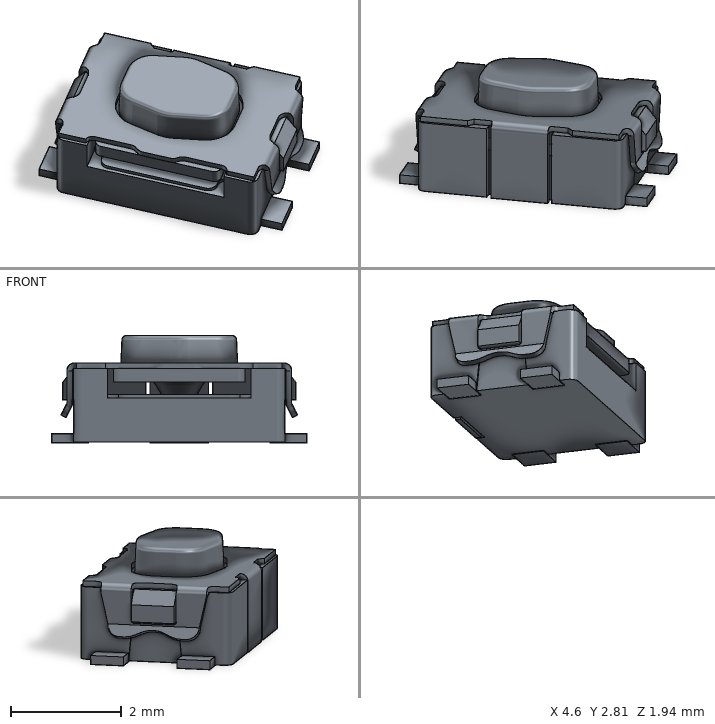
import cadquery as cq
import math

BODY_X = 3.81
BODY_Y = 2.81
BODY_BOTTOM = 0.015
BODY_TOP = 1.345
BODY_CORNER_R = 0.155

CAVITY_HALF_X = 1.295
CAVITY_REAR_Y = 1.25
CAVITY_FLOOR = 0.815
PAD_HALF_X = 1.095
PAD_FRONT_Y = -1.34
PAD_TOP = 0.875
PAD_SHOULDER = 0.36
PAD_CORNER_R = 0.175

SHEET = 0.1
COVER_TOP = BODY_TOP + SHEET
COVER_HALF_X = 1.85
COVER_HALF_Y = 1.352
BEND_INNER_R = 0.045
BEND_OUTER_R = BEND_INNER_R + SHEET
BEND_END_Z = COVER_TOP - BEND_OUTER_R

FRONT_NOTCH_DEPTH = 0.11
FRONT_NOTCH_MOUTH = (0.265, 1.335)
FRONT_NOTCH_FLOOR = (0.515, 1.205)

REAR_TAB_HALF_X = 0.53
REAR_SLOT_HALF_X = 0.603
REAR_NOTCH_FLOOR = 0.875
REAR_NOTCH_MOUTH = 0.975
REAR_ROOT_R = 0.055

SIDE_TAB_X = 2.03
SIDE_TAB_TOP_HALF_Y = 0.98
SIDE_TAB_LOW_HALF_Y = 0.845
SIDE_TAB_ROOT_R = 0.14
FLARE_TOP_Z = 0.71
FLARE_ANGLE = 26.8
FLARE_LENGTH = 0.23
FLARE_MITRE = SHEET * math.tan(math.radians(FLARE_ANGLE / 2))
FLARE_CORNER_R = 0.23
FLARE_LOBE_Y = 0.535
FLARE_CREST = 0.143

BOSS_X = 2.1
BOSS_HALF_Y = 0.395
BOSS_BOTTOM = 0.777
BOSS_SLOPE_Z = 1.09
WINDOW_X = 1.8
WINDOW_HALF_Y = 0.42
WINDOW_BOTTOM = 0.735
WINDOW_CORNER_R = 0.185
WINDOW_LOW_R = 0.07

RECESS_DEPTH = 0.03
RECESS_LOW_HALF_Y = 0.495
RECESS_TOP_HALF_Y = 0.42

TERMINAL_END_X = 2.3
TERMINAL_START_X = 1.638
TERMINAL_HEIGHT = 0.165
TERMINAL_INNER_Y = 0.495
TERMINAL_WIDTH = 0.605

BUTTON_TOP = 1.94
BUTTON_HALF_X = 1.06
BUTTON_SIDE_HALF_Y = 0.58
BUTTON_APEX_Y = 0.825
BUTTON_CORNER_R = 0.488
BUTTON_APEX_R = 0.735
BUTTON_DRAFT = 2.5
BUTTON_TOP_R = 0.09
HOLE_GAP = 0.06
FLANGE_BOTTOM = 1.095
FLANGE_HALF_X = 1.185
FLANGE_FRONT_Y = -1.35
FLANGE_REAR_Y = 1.23
FLANGE_CORNER_R = 0.135

FOOT_RIM_Z = 1.03
FOOT_RADII = (0.46, 0.415, 0.32)

SELECT_MARGIN = 0.005


def block(x0, x1, y0, y1, z0, z1):
    return cq.Workplane("XY").box(x1 - x0, y1 - y0, z1 - z0, centered=False).translate((x0, y0, z0))


def box_around(low, high):
    """Selector for edges centred in the box from low to high, with a small margin."""
    return cq.selectors.BoxSelector(
        tuple(value - SELECT_MARGIN for value in low),
        tuple(value + SELECT_MARGIN for value in high),
    )


def both_sides(shape):
    return shape.union(shape.mirror("YZ"))


def make_pad():
    """Raised floor of the cavity, narrower at the front, with rounded shoulders."""
    shoulder_y = PAD_FRONT_Y + PAD_SHOULDER
    front = block(-PAD_HALF_X, PAD_HALF_X, PAD_FRONT_Y, CAVITY_REAR_Y, CAVITY_FLOOR, PAD_TOP)
    wide = block(-CAVITY_HALF_X, CAVITY_HALF_X, shoulder_y, CAVITY_REAR_Y, CAVITY_FLOOR, PAD_TOP)
    pad = front.edges("|Z and <Y").fillet(PAD_CORNER_R).union(wide)
    inner_corners = box_around((-PAD_HALF_X, shoulder_y, CAVITY_FLOOR), (PAD_HALF_X, shoulder_y, PAD_TOP))
    return pad.edges(inner_corners).edges("|Z").fillet(PAD_CORNER_R)


def make_body():
    half_x = BODY_X / 2
    half_y = BODY_Y / 2
    body = block(-half_x, half_x, -half_y, half_y, BODY_BOTTOM, BODY_TOP)
    body = body.edges("|Z").fillet(BODY_CORNER_R)
    body = body.cut(block(-CAVITY_HALF_X, CAVITY_HALF_X, -half_y, CAVITY_REAR_Y, CAVITY_FLOOR, BODY_TOP))
    body = body.union(make_pad())
    slot = block(-REAR_SLOT_HALF_X, REAR_SLOT_HALF_X, CAVITY_REAR_Y, half_y, BODY_BOTTOM, BODY_TOP)
    recess = (
        cq.Workplane("YZ", origin=(-half_x, 0, 0))
        .moveTo(-RECESS_LOW_HALF_Y, BODY_BOTTOM)
        .lineTo(RECESS_LOW_HALF_Y, BODY_BOTTOM)
        .lineTo(RECESS_TOP_HALF_Y, BOSS_BOTTOM)
        .lineTo(-RECESS_TOP_HALF_Y, BOSS_BOTTOM)
        .close()
        .extrude(RECESS_DEPTH)
    )
    boss = (
        cq.Workplane("XZ")
        .moveTo(-half_x, BODY_TOP)
        .lineTo(-BOSS_X, BOSS_SLOPE_Z)
        .lineTo(-BOSS_X, BOSS_BOTTOM)
        .lineTo(-half_x, BOSS_BOTTOM)
        .close()
        .extrude(BOSS_HALF_Y, both=True)
    )
    return body.cut(slot).cut(both_sides(recess)).union(both_sides(boss))


def make_terminals():
    terminal = block(
        -TERMINAL_END_X, -TERMINAL_START_X,
        TERMINAL_INNER_Y, TERMINAL_INNER_Y + TERMINAL_WIDTH,
        0, TERMINAL_HEIGHT,
    )
    return both_sides(terminal.union(terminal.mirror("XZ")))


def button_outline():
    """Six-sided wire with rounded corners, lying at the body top."""
    corners = [
        (BUTTON_HALF_X, BUTTON_SIDE_HALF_Y),
        (0, BUTTON_APEX_Y),
        (-BUTTON_HALF_X, BUTTON_SIDE_HALF_Y),
        (-BUTTON_HALF_X, -BUTTON_SIDE_HALF_Y),
        (0, -BUTTON_APEX_Y),
        (BUTTON_HALF_X, -BUTTON_SIDE_HALF_Y),
    ]
    prism = cq.Workplane("XY").workplane(offset=BODY_TOP).polyline(corners).close().extrude(0.045)
    prism = prism.edges("|Z and (<Y or >Y)").fillet(BUTTON_APEX_R)
    for side in ("<X", ">X"):
        prism = prism.faces(side).edges("|Z").fillet(BUTTON_CORNER_R)
    return prism.faces("<Z").wires()


def make_button():
    key = button_outline().toPending().extrude(BUTTON_TOP - BODY_TOP, combine=False, taper=BUTTON_DRAFT)
    key = key.faces(">Z").edges().fillet(BUTTON_TOP_R)
    flange = block(
        -FLANGE_HALF_X, FLANGE_HALF_X, FLANGE_FRONT_Y, FLANGE_REAR_Y, FLANGE_BOTTOM, BODY_TOP
    ).edges("|Z").fillet(FLANGE_CORNER_R)
    root_r, rim_r, tip_r = FOOT_RADII
    foot = (
        cq.Workplane("XZ")
        .moveTo(0, PAD_TOP)
        .lineTo(tip_r, PAD_TOP)
        .lineTo(rim_r, FOOT_RIM_Z)
        .lineTo(root_r, FLANGE_BOTTOM)
        .lineTo(0, FLANGE_BOTTOM)
        .close()
        .revolve(360, (0, 0, 0), (0, 1, 0))
    )
    return key.union(flange).union(foot)


def make_cover_plate():
    plate = block(-COVER_HALF_X, COVER_HALF_X, -COVER_HALF_Y, COVER_HALF_Y, BODY_TOP, COVER_TOP)
    notch_y = -COVER_HALF_Y + FRONT_NOTCH_DEPTH
    mouth_inner, mouth_outer = FRONT_NOTCH_MOUTH
    floor_inner, floor_outer = FRONT_NOTCH_FLOOR
    front_notch = (
        cq.Workplane("XY", origin=(0, 0, BODY_TOP))
        .moveTo(-mouth_inner, -COVER_HALF_Y)
        .spline([(-floor_inner, notch_y)], tangents=[(-1, 0), (-1, 0)], includeCurrent=True)
        .lineTo(-floor_outer, notch_y)
        .tangentArcPoint((-mouth_outer, -COVER_HALF_Y), relative=False)
        .close()
        .extrude(SHEET)
    )
    rear_notch = (
        cq.Workplane("XY", origin=(0, 0, BODY_TOP))
        .moveTo(-REAR_NOTCH_MOUTH, COVER_HALF_Y)
        .lineTo(-REAR_NOTCH_FLOOR, CAVITY_REAR_Y)
        .lineTo(REAR_NOTCH_FLOOR, CAVITY_REAR_Y)
        .lineTo(REAR_NOTCH_MOUTH, COVER_HALF_Y)
        .close()
        .extrude(SHEET)
    )
    hole = button_outline().toPending().offset2D(HOLE_GAP).extrude(SHEET, combine=False)
    return plate.cut(both_sides(front_notch)).cut(rear_notch).cut(hole)


def bent_strip(root, outer, bottom, half_width, end_drop=0):
    """Strip along +X from root, bent down at outer; end_drop lowers its end on the inner face."""
    bend_start = outer - BEND_OUTER_R
    rise = math.sin(math.radians(45))
    mid_outer = (bend_start + BEND_OUTER_R * rise, BEND_END_Z + BEND_OUTER_R * rise)
    mid_inner = (bend_start + BEND_INNER_R * rise, BEND_END_Z + BEND_INNER_R * rise)
    return (
        cq.Workplane("XZ")
        .moveTo(root, COVER_TOP)
        .lineTo(bend_start, COVER_TOP)
        .threePointArc(mid_outer, (outer, BEND_END_Z))
        .lineTo(outer, bottom)
        .lineTo(outer - SHEET, bottom - end_drop)
        .lineTo(outer - SHEET, BEND_END_Z)
        .threePointArc(mid_inner, (bend_start, BODY_TOP))
        .lineTo(root, BODY_TOP)
        .close()
        .extrude(half_width, both=True)
    )


def tab_neck(root, edge, outer, root_half, tab_half, root_r):
    """Plan shape of a tab at its bend, widening into the straight sheet edge with a rounded root."""
    sheet_edge = block(root, edge, -root_half, root_half, BEND_END_Z, COVER_TOP)
    tab = block(root, outer, -tab_half, tab_half, BEND_END_Z, COVER_TOP)
    inner_corners = box_around((edge, -tab_half, BEND_END_Z), (edge, tab_half, COVER_TOP))
    return sheet_edge.union(tab).edges(inner_corners).edges("|Z").fillet(root_r)


def make_rear_tab():
    edge = CAVITY_REAR_Y
    root = edge - SHEET
    outer = edge + BEND_OUTER_R
    strip = bent_strip(root, outer, 0, REAR_SLOT_HALF_X)
    neck = tab_neck(root, edge, outer, REAR_SLOT_HALF_X, REAR_TAB_HALF_X, REAR_ROOT_R)
    leg = block(root, outer, -REAR_TAB_HALF_X, REAR_TAB_HALF_X, 0, BEND_END_Z)
    return strip.intersect(neck.union(leg)).rotate((0, 0, 0), (0, 0, 1), 90)


def make_flare():
    """Outward-leaning lip below the side tab, with two lobes and a raised middle."""
    lean = math.radians(FLARE_ANGLE)
    hinge = cq.Plane(
        origin=(SIDE_TAB_X, 0, FLARE_TOP_Z),
        xDir=(0, 1, 0),
        normal=(math.cos(lean), 0, math.sin(lean)),
    )
    half = SIDE_TAB_LOW_HALF_Y
    end = -FLARE_LENGTH
    shoulder = end + FLARE_CORNER_R
    lobe_y = half - FLARE_CORNER_R
    arc_inset = FLARE_CORNER_R * (1 - math.sin(math.radians(45)))
    level = (1, 0)
    return (
        cq.Workplane(hinge)
        .moveTo(-half, FLARE_MITRE)
        .lineTo(-half, shoulder)
        .threePointArc((-half + arc_inset, end + arc_inset), (-lobe_y, end))
        .lineTo(-FLARE_LOBE_Y, end)
        .spline([(0, end + FLARE_CREST)], tangents=[level, level], includeCurrent=True)
        .spline([(FLARE_LOBE_Y, end)], tangents=[level, level], includeCurrent=True)
        .lineTo(lobe_y, end)
        .threePointArc((half - arc_inset, end + arc_inset), (half, shoulder))
        .lineTo(half, FLARE_MITRE)
        .close()
        .extrude(-SHEET)
    )


def make_side_tab():
    root_x = COVER_HALF_X - SHEET
    strip = bent_strip(root_x, SIDE_TAB_X, FLARE_TOP_Z, COVER_HALF_Y, FLARE_MITRE)
    neck = tab_neck(
        root_x, COVER_HALF_X, SIDE_TAB_X, COVER_HALF_Y, SIDE_TAB_TOP_HALF_Y, SIDE_TAB_ROOT_R
    )

    taper = (
        cq.Workplane("YZ", origin=(root_x, 0, 0))
        .moveTo(-SIDE_TAB_TOP_HALF_Y, BEND_END_Z)
        .lineTo(SIDE_TAB_TOP_HALF_Y, BEND_END_Z)
        .lineTo(SIDE_TAB_LOW_HALF_Y, FLARE_TOP_Z)
        .lineTo(SIDE_TAB_LOW_HALF_Y, FLARE_TOP_Z - FLARE_MITRE)
        .lineTo(-SIDE_TAB_LOW_HALF_Y, FLARE_TOP_Z - FLARE_MITRE)
        .lineTo(-SIDE_TAB_LOW_HALF_Y, FLARE_TOP_Z)
        .close()
        .extrude(SIDE_TAB_X - root_x)
    )
    return strip.intersect(neck.union(taper)).union(make_flare())


def make_window():
    """Opening that lets the latch boss through the cover edge and the side tab."""
    window = block(WINDOW_X, BOSS_X, -WINDOW_HALF_Y, WINDOW_HALF_Y, WINDOW_BOTTOM, COVER_TOP)
    window = window.edges("|Z and <X").fillet(WINDOW_CORNER_R)
    lower_corners = box_around(
        (WINDOW_X, -WINDOW_HALF_Y, WINDOW_BOTTOM), (BOSS_X, WINDOW_HALF_Y, WINDOW_BOTTOM)
    )
    return window.edges(lower_corners).edges("|X").fillet(WINDOW_LOW_R)


def make_cover():
    cover = make_cover_plate().union(make_rear_tab())
    cover = cover.union(both_sides(make_side_tab()))
    return cover.cut(both_sides(make_window()))


result = make_body().union(make_terminals()).union(make_button()).union(make_cover()).clean()